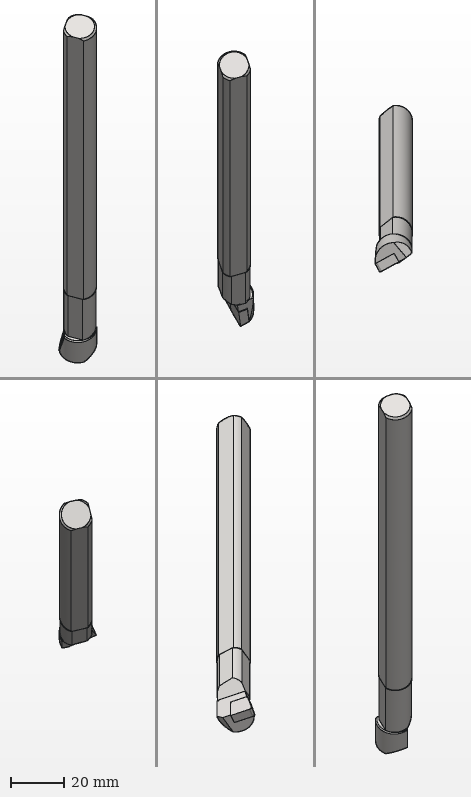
import cadquery as cq
import math


total_length = 203.2
shank_radius = 12.7 / 2
flat_distance = 5.45
top_chamfer = 0.8
joint_z = 39.4

neck_radius = 6.15
shoulder_z = 13.8
head_bottom_z = 0.45
head_radius = 7.14
head_center_x = shank_radius - head_radius
shoulder_chamfer = 0.5
corner_chamfer = 3.2

tip_x = -7.85
tip_y = -0.1
nose_radius = 0.8
rake_angle = 10.0
flank_lead = 10.5
flank_clearance = 10.0
end_clearance = 7.0
runout_angle = 45.0

insert_width = 8.4
insert_top_z = 9.5
insert_top_slope = 7.0
insert_thickness = 3.7
insert_overhang = 0.3

reach = 60.0


def tan(angle):
    return math.tan(math.radians(angle))


def cos(angle):
    return math.cos(math.radians(angle))


def sin(angle):
    return math.sin(math.radians(angle))


flank_x = tip_x + nose_radius * (1 - tan(flank_lead) - 1 / cos(flank_lead))

end_rise = tan(end_clearance) * tan(rake_angle)


def flats_block(bottom_z, top_z):
    """Block bounded by the flats on -X, -Y and +Y; it stays clear of the round +X side."""
    return (
        cq.Workplane("XY", origin=(-flat_distance, 0, bottom_z))
        .box(reach, 2 * flat_distance, top_z - bottom_z, centered=(False, True, False))
    )


def flank_block(inset):
    """Block on the +X side of the flank plane, with that plane moved inward by the inset."""
    def section(z):
        corners = []
        for y in (-reach, reach):
            edge_x = flank_x + inset + z * tan(flank_lead) + (tip_y - y) * tan(flank_clearance)
            corners.append(cq.Vector(edge_x, y, z))
        corners.append(cq.Vector(reach, reach, z))
        corners.append(cq.Vector(reach, -reach, z))
        return cq.Wire.makePolygon(corners, close=True)

    return cq.Workplane(cq.Solid.makeLoft([section(-reach), section(reach)], True))


def end_block():
    """Block above the sloping bottom face of the insert."""
    bottom_plane = cq.Plane(
        origin=(tip_x, tip_y, 0),
        xDir=(1, 0, end_rise),
        normal=(-end_rise, tan(end_clearance), 1),
    )
    return cq.Workplane(bottom_plane).rect(2 * reach, 2 * reach).extrude(reach)


def chip_pocket():
    """Open space in front of the rake face, with a sloping run-out up to the neck."""
    rake_profile = cq.Plane(
        origin=(tip_x, tip_y, 0),
        xDir=(-sin(rake_angle), cos(rake_angle), 0),
        normal=(cos(rake_angle), sin(rake_angle), 0),
    )
    return (
        cq.Workplane(rake_profile)
        .moveTo(0, -reach)
        .lineTo(0, shoulder_z)
        .lineTo(reach, shoulder_z + reach * tan(runout_angle))
        .lineTo(reach, -reach)
        .close()
        .extrude(reach, both=True)
    )


def corner_cut():
    """Wedge that removes the bottom corner on the +X side."""
    return (
        cq.Workplane("XZ", origin=(0, reach / 2, 0))
        .moveTo(shank_radius, 0)
        .line(0, corner_chamfer)
        .line(-corner_chamfer, -corner_chamfer)
        .close()
        .extrude(reach)
    )


def insert_seat():
    """Block filling the insert's pocket, open past the flank and the bottom of the head."""
    margin = 4.0
    seat_top_z = insert_top_z - insert_thickness * tan(insert_top_slope)
    return (
        cq.Workplane("YZ", origin=(-margin, 0, 0))
        .moveTo(0, -margin)
        .lineTo(0, insert_top_z)
        .lineTo(-insert_thickness, seat_top_z)
        .lineTo(-insert_thickness, -margin)
        .close()
        .extrude(margin + insert_width)
        .rotate((0, 0, 0), (0, 0, 1), rake_angle)
        .translate((tip_x, tip_y, 0))
    )


def make_shank():
    return (
        cq.Workplane("XY", origin=(0, 0, joint_z))
        .circle(shank_radius)
        .extrude(total_length - joint_z)
        .faces(">Z")
        .chamfer(top_chamfer)
        .intersect(flats_block(joint_z, total_length))
    )


def make_head():
    neck = (
        cq.Workplane("XY", origin=(0, 0, shoulder_z))
        .circle(neck_radius)
        .extrude(joint_z - shoulder_z)
        .intersect(flats_block(shoulder_z, joint_z))
    )
    tip = (
        cq.Workplane("XY", origin=(head_center_x, 0, head_bottom_z))
        .circle(head_radius)
        .extrude(shoulder_z - head_bottom_z)
        .faces(">Z")
        .chamfer(shoulder_chamfer)
        .intersect(flank_block(insert_overhang))
        .cut(corner_cut())
    )
    return neck.union(tip).cut(chip_pocket()).cut(insert_seat())


def make_insert():
    blank = insert_seat().intersect(flank_block(0)).intersect(end_block())
    nose_edge = cq.selectors.NearestToPointSelector((tip_x, tip_y - insert_thickness / 2, 0))
    return blank.edges(nose_edge).fillet(nose_radius)


shank = make_shank()
head = make_head()
insert = make_insert()

result = cq.Compound.makeCompound([shank.solids().val(), head.solids().val(), insert.solids().val()])